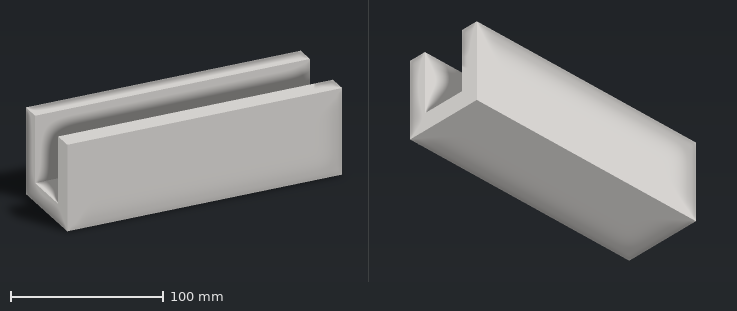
import cadquery as cq

length = 200.0
width = 63.0
height = 63.0
wall = 14.0

slot_width = width - 2 * wall
slot_depth = height - wall

bar = cq.Workplane("XY").box(width, length, height)

result = bar.faces(">Z").workplane().rect(slot_width, length).cutBlind(-slot_depth)